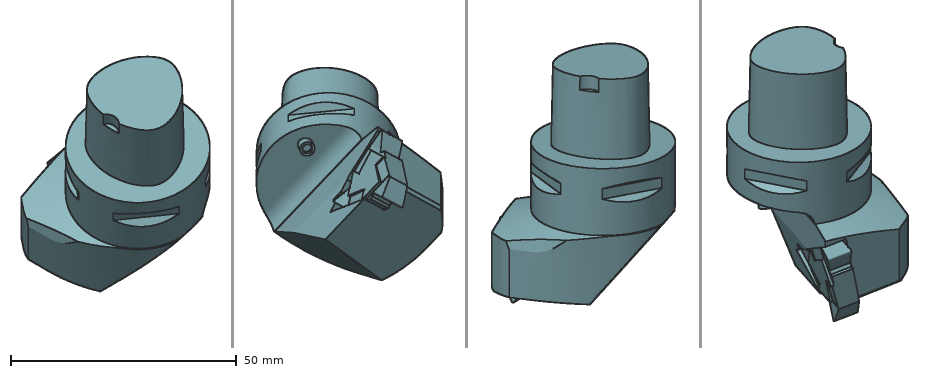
import cadquery as cq
import math


FAR = 117.4
OVERCUT = 0.6

SHANK_HEIGHT = 19.0
SHANK_RADIUS_BOTTOM = 10.9
SHANK_RADIUS_TOP = 10.55
LOBE_HEIGHT = 0.735
LOBE_COUNT = 3
LOBE_ANGLE = 90.0
LOBE_HALF_SPAN = 24.0
CURVE_STEPS = 8
NOTCH_DIAMETER = 5.7
NOTCH_CENTER_Y = -11.5
NOTCH_DEPTH = 3.2

FLANGE_RADIUS = 32.0 / 2
FLANGE_HEIGHT = 15.95
GRIP_COUNT = 4
GRIP_FLOOR_RADIUS = 14.2
GRIP_CENTER_Z = -6.05
GRIP_FLOOR_WIDTH = 2.45
GRIP_MOUTH_WIDTH = 4.7

FACE_Y = 3.0
FRONT_Y = -19.6
LEFT_X_FACE = -21.35
LEFT_X_CORNER = -21.1
CORNER_START_Y = -15.0
CORNER_END = (-18.3, -17.7)
FRONT_START_X = -15.5
FRONT_END_X = -10.0
FLANK_RADIUS = 31.1
FLANK_ANGLE = 29.0
HEAD_RADIUS = 16.25
HEAD_DEPTH = 41.1
SHOULDER_ANGLE = 15.0
BEVEL_START_Z = -20.15
BEVEL_ANGLE = 15.0
BOTTOM_FRONT_Z = -31.65
EDGE_CHAMFER = 0.7
DIAGONAL_TOP = (16.1, -15.15)
DIAGONAL_BOTTOM = (0.0, -35.2)
RELIEF_START_Z = -24.65
RELIEF_ANGLE = 11.2
STEP_EDGE_Z = -12.05
STEP_ANGLE = 4.5
STEP_FILLET = 3.9

NOZZLE_DIAMETER = 3.3
NOZZLE_BORE = 2.2
NOZZLE_BORE_DEPTH = 1.2
NOZZLE_TIP = (-5.9, 10.55, -15.1)
NOZZLE_TILT = 16.0
NOZZLE_LENGTH = 4.7

TILT = 10.0
INSERT_THICKNESS = 5.8
TOOTH_COUNT = 3
TIP_POINT = (-19.15, 0.0, -39.7)
TOOTH_X = -3.4
TOOTH_TIP_Y = -10.6
TIP_RADIUS = 0.38
TOOTH_HALF_ANGLE = 30.0
SIDE_X = -6.2
ROOT_X = -0.65
LAND_START = (0.25, -6.35)
LAND_END = (0.75, -6.75)
RAKE_LENGTH = 4.1
RAKE_FLOOR_END = 5.05
RAKE_SIDES = (-7.05, 3.5)
GROOVE_END = 10.9
GROOVE_END_DEPTH = 0.3


def tan(angle):
    return math.tan(math.radians(angle))


def sin(angle):
    return math.sin(math.radians(angle))


def cos(angle):
    return math.cos(math.radians(angle))


def cut_profile(plane, points):
    """Prism of a closed profile that reaches past the part on both sides of the plane."""
    return cq.Workplane(plane).polyline(points).close().extrude(FAR, both=True)



def lobed_point(radius, angle, z):
    """Point of the lobed curve whose outward normal points along the angle."""
    phase = LOBE_COUNT * (angle - LOBE_ANGLE)
    support = radius + LOBE_HEIGHT * cos(phase)
    slope = -LOBE_COUNT * LOBE_HEIGHT * sin(phase)
    x = support * cos(angle) - slope * sin(angle)
    y = support * sin(angle) + slope * cos(angle)
    return cq.Vector(x, y, z)


def lobed_wire(radius, z):
    """Closed outline of one curve over each lobe and one over each side between lobes."""
    pitch = 360.0 / LOBE_COUNT
    edges = []
    for lobe in range(LOBE_COUNT):
        middle = LOBE_ANGLE + lobe * pitch
        breaks = (middle - LOBE_HALF_SPAN, middle + LOBE_HALF_SPAN, middle + pitch - LOBE_HALF_SPAN)
        for start, end in zip(breaks, breaks[1:]):
            angles = [start + (end - start) * i / CURVE_STEPS for i in range(CURVE_STEPS + 1)]
            edges.append(cq.Edge.makeSpline([lobed_point(radius, a, z) for a in angles]))
    return cq.Wire.assembleEdges(edges)


def make_shank():
    bottom = lobed_wire(SHANK_RADIUS_BOTTOM, 0)
    top = lobed_wire(SHANK_RADIUS_TOP, SHANK_HEIGHT)
    shank = cq.Workplane(cq.Solid.makeLoft([bottom, top], True))
    notch = (
        cq.Workplane("XY", origin=(0, NOTCH_CENTER_Y, SHANK_HEIGHT))
        .circle(NOTCH_DIAMETER / 2)
        .extrude(-NOTCH_DEPTH)
    )
    return shank.cut(notch)


def make_flange():
    flange = cq.Workplane("XY").circle(FLANGE_RADIUS).extrude(-FLANGE_HEIGHT)
    wall_slope = (GRIP_MOUTH_WIDTH - GRIP_FLOOR_WIDTH) / 2 / (FLANGE_RADIUS - GRIP_FLOOR_RADIUS)
    outer_radius = FLANGE_RADIUS + OVERCUT
    floor_half = GRIP_FLOOR_WIDTH / 2
    outer_half = floor_half + wall_slope * (outer_radius - GRIP_FLOOR_RADIUS)
    groove = cut_profile("XZ", [
        (GRIP_FLOOR_RADIUS, GRIP_CENTER_Z - floor_half),
        (outer_radius, GRIP_CENTER_Z - outer_half),
        (outer_radius, GRIP_CENTER_Z + outer_half),
        (GRIP_FLOOR_RADIUS, GRIP_CENTER_Z + floor_half),
    ])
    pitch = 360.0 / GRIP_COUNT
    for i in range(GRIP_COUNT):
        flange = flange.cut(groove.rotate((0, 0, 0), (0, 0, 1), (i + 0.5) * pitch))
    return flange


def head_outline():
    bow_end = (
        FRONT_END_X + FLANK_RADIUS * sin(FLANK_ANGLE),
        FRONT_Y + FLANK_RADIUS * (1 - cos(FLANK_ANGLE)),
    )
    bow_middle = (
        FRONT_END_X + FLANK_RADIUS * sin(FLANK_ANGLE / 2),
        FRONT_Y + FLANK_RADIUS * (1 - cos(FLANK_ANGLE / 2)),
    )
    round_start = (HEAD_RADIUS * sin(FLANK_ANGLE), -HEAD_RADIUS * cos(FLANK_ANGLE))
    round_end = (math.sqrt(HEAD_RADIUS**2 - FACE_Y**2), FACE_Y)
    round_middle = (HEAD_RADIUS * cos(FLANK_ANGLE), -HEAD_RADIUS * sin(FLANK_ANGLE))
    return (
        cq.Workplane("XY")
        .moveTo(LEFT_X_FACE, FACE_Y)
        .lineTo(LEFT_X_CORNER, CORNER_START_Y)
        .lineTo(*CORNER_END)
        .tangentArcPoint((FRONT_START_X, FRONT_Y), relative=False)
        .lineTo(FRONT_END_X, FRONT_Y)
        .threePointArc(bow_middle, bow_end)
        .lineTo(*round_start)
        .threePointArc(round_middle, round_end)
        .close()
    )


def make_head():
    head = head_outline().extrude(-HEAD_DEPTH)

    cone_radius = 2 * FLANGE_RADIUS
    cone_fall = (cone_radius - FLANGE_RADIUS) * tan(SHOULDER_ANGLE)
    shoulder = (
        cq.Workplane("XZ")
        .polyline([
            (0, -FLANGE_HEIGHT),
            (FLANGE_RADIUS, -FLANGE_HEIGHT),
            (cone_radius, -FLANGE_HEIGHT - cone_fall),
            (cone_radius, -FAR),
            (0, -FAR),
        ])
        .close()
        .revolve(360, (0, 0), (0, 1))
    )
    head = head.intersect(shoulder)

    bevel_run = -BEVEL_START_Z * tan(BEVEL_ANGLE)
    head = head.cut(cut_profile("YZ", [
        (FRONT_Y, BEVEL_START_Z),
        (FRONT_Y + bevel_run, 0),
        (FRONT_Y - bevel_run, 0),
    ]))

    head = head.cut(cut_profile("YZ", [
        (FRONT_Y - FAR, BOTTOM_FRONT_Z + FAR * tan(TILT)),
        (FRONT_Y + FAR, BOTTOM_FRONT_Z - FAR * tan(TILT)),
        (FRONT_Y - FAR, BOTTOM_FRONT_Z - FAR * tan(TILT)),
    ]))
    bottom_left_edge = head.faces("<Z").edges("<X")
    return bottom_left_edge.chamfer(EDGE_CHAMFER)


def make_nozzle():
    axis = cq.Vector(sin(NOZZLE_TILT), 0, cos(NOZZLE_TILT))
    tip = cq.Plane(origin=NOZZLE_TIP, xDir=(0, 1, 0), normal=axis)
    body = cq.Workplane(tip).circle(NOZZLE_DIAMETER / 2).extrude(NOZZLE_LENGTH)
    bore = cq.Workplane(tip).circle(NOZZLE_BORE / 2).extrude(NOZZLE_BORE_DEPTH)
    return body.cut(bore)


def cut_step(holder):
    """Clear the +Y side below the flange, with a fillet where the step meets the head."""
    edge_y = FLANGE_RADIUS
    corner_z = STEP_EDGE_Z - (edge_y - FACE_Y) * tan(STEP_ANGLE)
    step = cut_profile("YZ", [
        (FACE_Y, corner_z),
        (FAR, STEP_EDGE_Z + (FAR - edge_y) * tan(STEP_ANGLE)),
        (FAR, -FAR),
        (FACE_Y, -FAR),
    ])
    step = step.edges(cq.selectors.NearestToPointSelector((0, FACE_Y, corner_z))).fillet(STEP_FILLET)
    return holder.cut(step)


def cut_diagonal(holder):
    """Slanting flat that removes the lower right of the flange and head."""
    slope = (DIAGONAL_TOP[1] - DIAGONAL_BOTTOM[1]) / (DIAGONAL_TOP[0] - DIAGONAL_BOTTOM[0])
    low = (DIAGONAL_BOTTOM[0] - FLANGE_RADIUS, DIAGONAL_BOTTOM[1] - FLANGE_RADIUS * slope)
    high = (DIAGONAL_TOP[0] + OVERCUT, DIAGONAL_TOP[1] + OVERCUT * slope)
    return holder.cut(cut_profile("XZ", [low, high, (high[0], low[1])]))


def cut_relief(holder):
    """Slope the +Y face of the head back towards its bottom."""
    end_z = -FAR
    end_y = FACE_Y - (RELIEF_START_Z - end_z) * tan(RELIEF_ANGLE)
    return holder.cut(cut_profile("YZ", [
        (FACE_Y, RELIEF_START_Z),
        (end_y, end_z),
        (FACE_Y, end_z),
    ]))



def insert_plane():
    """Plane of the insert's rake side: local Y leans with the insert, local Z runs into the head."""
    origin = (
        TIP_POINT[0] - TOOTH_X,
        TIP_POINT[1] - TOOTH_TIP_Y * sin(TILT),
        TIP_POINT[2] - TOOTH_TIP_Y * cos(TILT),
    )
    return cq.Plane(origin=origin, xDir=(1, 0, 0), normal=(0, -cos(TILT), sin(TILT)))


def turned(point, angle):
    x, y = point
    return (x * cos(angle) - y * sin(angle), x * sin(angle) + y * cos(angle))


def insert_prism(start, end):
    """Insert outline extruded between two depths; each tooth has a rounded tip."""
    sharp_y = TOOTH_TIP_Y + TIP_RADIUS - TIP_RADIUS / sin(TOOTH_HALF_ANGLE)
    flank = 1 / tan(TOOTH_HALF_ANGLE)
    tangent = TIP_RADIUS * cos(TOOTH_HALF_ANGLE)
    tangent_y = TOOTH_TIP_Y + TIP_RADIUS * (1 - sin(TOOTH_HALF_ANGLE))
    tooth = {
        "side": (SIDE_X, sharp_y + (TOOTH_X - SIDE_X) * flank),
        "round_start": (TOOTH_X - tangent, tangent_y),
        "tip": (TOOTH_X, TOOTH_TIP_Y),
        "round_end": (TOOTH_X + tangent, tangent_y),
        "root": (ROOT_X, sharp_y + (ROOT_X - TOOTH_X) * flank),
        "land_start": LAND_START,
        "land_end": LAND_END,
    }
    outline = cq.Workplane("XY", origin=(0, 0, start)).moveTo(*tooth["side"])
    for i in range(TOOTH_COUNT):
        place = {name: turned(point, i * 360.0 / TOOTH_COUNT) for name, point in tooth.items()}
        if i > 0:
            outline = outline.lineTo(*place["side"])
        outline = (
            outline.lineTo(*place["round_start"])
            .threePointArc(place["tip"], place["round_end"])
            .lineTo(*place["root"])
            .lineTo(*place["land_start"])
            .lineTo(*place["land_end"])
        )
    return outline.close().extrude(end - start)


def side_profile(start_x, end_x, points):
    """Prism of a (Y, depth) profile between two X positions on the insert."""
    return cq.Workplane("YZ", origin=(start_x, 0, 0)).polyline(points).close().extrude(end_x - start_x)


def make_insert():
    """Insert whose teeth are each ground from the tip down to a shallow floor and a side groove."""
    insert = insert_prism(0, INSERT_THICKNESS)
    floor = RAKE_LENGTH * tan(TILT)
    rake = side_profile(RAKE_SIDES[0], RAKE_SIDES[1], [
        (TOOTH_TIP_Y, 0),
        (TOOTH_TIP_Y + RAKE_LENGTH, floor),
        (TOOTH_TIP_Y + RAKE_FLOOR_END, floor),
        (TOOTH_TIP_Y + RAKE_FLOOR_END, 0),
    ])
    groove = side_profile(RAKE_SIDES[0], TOOTH_X, [
        (TOOTH_TIP_Y + RAKE_LENGTH, 0),
        (TOOTH_TIP_Y + RAKE_LENGTH, floor),
        (TOOTH_TIP_Y + GROOVE_END, GROOVE_END_DEPTH),
        (TOOTH_TIP_Y + GROOVE_END, 0),
    ])
    grind = rake.union(groove)
    for i in range(TOOTH_COUNT):
        insert = insert.cut(grind.rotate((0, 0, 0), (0, 0, 1), i * 360.0 / TOOTH_COUNT))
    return insert.solids().val().moved(cq.Location(insert_plane()))


def cut_insert_pocket(holder):
    """Seat of the insert, open to the +Y side; straight walls run on past the insert's corners."""
    pitch = 360.0 / TOOTH_COUNT
    corner = (SIDE_X, SIDE_X * tan(pitch / 2))
    corners = [turned(corner, i * pitch) for i in range(TOOTH_COUNT)]
    triangle = (
        cq.Workplane("XY", origin=(0, 0, -FAR))
        .polyline(corners)
        .close()
        .extrude(FAR + INSERT_THICKNESS)
    )
    pocket = insert_prism(-FAR, INSERT_THICKNESS).union(triangle)
    return holder.cut(cq.Workplane(pocket.val().moved(cq.Location(insert_plane()))))


def make_holder():
    holder = make_flange().union(make_head())
    holder = cut_step(holder)
    holder = cut_diagonal(holder)
    holder = cut_relief(holder)
    holder = cut_insert_pocket(holder)
    return holder.union(make_shank()).union(make_nozzle()).solids()


holder = make_holder()
insert = make_insert()
result = cq.Compound.makeCompound([holder.val(), insert])